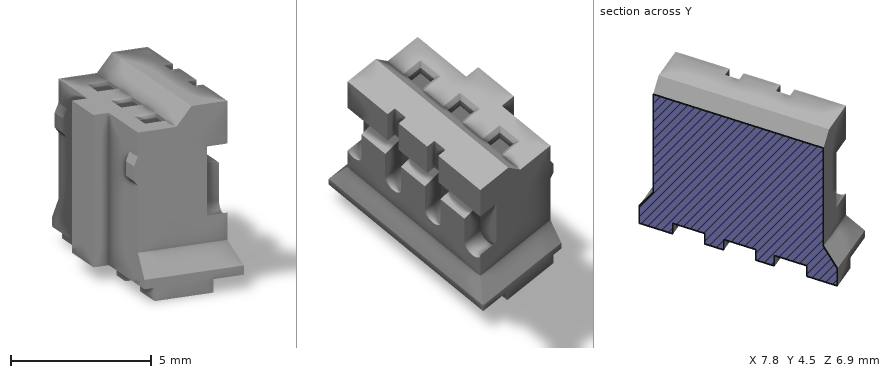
import cadquery as cq


body_width = 6.7
body_depth = 3.5
total_height = 6.9
shoulder_height = 6.2
ridge_front_top = 2.1
ridge_front_bottom = 1.5

skirt_width = 7.8
skirt_depth = 3.9
skirt_band_top = 0.85
flare_top = 1.7
foot_height = 0.5
foot_front = 0.4
foot_back = 2.7
foot_gap_width = 1.25

contact_count = 3
contact_pitch = 2.0
row_offset = 0.05

rib_width = 1.8
rib_depth = 0.6

bump_width = 0.7
bump_depth = 0.15
bump_bottom = 4.2
bump_face_bottom = 4.4
bump_face_top = 4.95
bump_top = 5.3

pocket_width = 1.0
pocket_lead_in = 0.15
pocket_depth = 0.5

recess_floor = 2.7
recess_top = 5.3
post_inner_top = 4.57
post_outer_top = 4.38
trough_radius = 0.4
trough_axis_height = 2.98

slot_width = 0.56
slot_depth = 0.36


def box(x_min, x_max, y_min, y_max, z_min, z_max):
    """Axis-aligned box between the given limits."""
    return cq.Workplane("XY").box(
        x_max - x_min, y_max - y_min, z_max - z_min, centered=False
    ).translate((x_min, y_min, z_min))


def extrude_along_x(points, x_min, x_max):
    """Prism with a (Y, Z) outline between two X positions."""
    return cq.Workplane("YZ").workplane(offset=x_min).polyline(points).close().extrude(x_max - x_min)


def extrude_along_y(points, y_min, y_max):
    """Prism with an (X, Z) outline between two Y positions."""
    return cq.Workplane("XZ").workplane(offset=-y_max).polyline(points).close().extrude(y_max - y_min)


def row_positions(count):
    """X positions of evenly pitched items centred on the contact row."""
    return [row_offset + (i - (count - 1) / 2) * contact_pitch for i in range(count)]


def make_body():
    """Stepped housing whose flared skirt is mitred at the back corners."""
    front_outline = extrude_along_y(
        [
            (-skirt_width / 2, foot_height),
            (skirt_width / 2, foot_height),
            (skirt_width / 2, skirt_band_top),
            (body_width / 2, flare_top),
            (body_width / 2, total_height),
            (-body_width / 2, total_height),
            (-body_width / 2, flare_top),
            (-skirt_width / 2, skirt_band_top),
        ],
        0,
        skirt_depth,
    )
    side_outline = extrude_along_x(
        [
            (0, foot_height),
            (skirt_depth, foot_height),
            (skirt_depth, skirt_band_top),
            (body_depth, flare_top),
            (body_depth, total_height),
            (ridge_front_top, total_height),
            (ridge_front_bottom, shoulder_height),
            (0, shoulder_height),
        ],
        -skirt_width / 2,
        skirt_width / 2,
    )
    return front_outline.intersect(side_outline)


def make_feet():
    """Foot strip under the skirt, interrupted below each contact."""
    feet = box(-skirt_width / 2, skirt_width / 2, foot_front, foot_back, 0, foot_height)
    for x in row_positions(contact_count):
        gap_half = foot_gap_width / 2
        feet = feet.cut(box(x - gap_half, x + gap_half, foot_front, foot_back, 0, foot_height))
    return feet


def make_rib():
    """Full-height rib in the middle of the front wall."""
    return box(-rib_width / 2, rib_width / 2, -rib_depth, 0, foot_height, shoulder_height)


def make_bump(x_min):
    """Chamfered snap bump on the front wall."""
    outline = [
        (0, bump_bottom),
        (-bump_depth, bump_face_bottom),
        (-bump_depth, bump_face_top),
        (0, bump_top),
    ]
    return extrude_along_x(outline, x_min, x_min + bump_width)


def make_pocket(x):
    """Square contact opening with a chamfered mouth; its back lead-in lies under the ridge ramp."""
    mouth_front = ridge_front_bottom + pocket_lead_in - pocket_width
    mouth_center = mouth_front + pocket_width / 2
    throat_width = pocket_width - 2 * pocket_lead_in
    mouth = (
        cq.Workplane("XY")
        .workplane(offset=shoulder_height)
        .center(x, mouth_center)
        .rect(pocket_width, pocket_width)
        .workplane(offset=-pocket_lead_in)
        .rect(throat_width, throat_width)
        .loft(ruled=True)
    )
    throat = (
        cq.Workplane("XY")
        .workplane(offset=shoulder_height - pocket_depth)
        .center(x, mouth_center)
        .rect(throat_width, throat_width)
        .extrude(pocket_depth - pocket_lead_in)
    )
    return mouth.union(throat)


def make_recess():
    """Recess across the back, above the sloped tops of the posts."""
    outline = [
        (recess_floor, post_inner_top),
        (body_depth, post_outer_top),
        (body_depth, recess_top),
        (recess_floor, recess_top),
    ]
    return extrude_along_x(outline, -body_width / 2, body_width / 2)


def make_trough(x):
    """Round-bottomed trough that separates neighbouring posts."""
    sides = box(
        x - trough_radius, x + trough_radius, recess_floor, body_depth, trough_axis_height, recess_top
    )
    bottom = (
        cq.Workplane("XZ")
        .workplane(offset=-body_depth)
        .center(x, trough_axis_height)
        .circle(trough_radius)
        .extrude(body_depth - recess_floor)
    )
    return sides.union(bottom)


def make_slot(x):
    """Slot through the back edge of the ridge, above a trough."""
    slot_half = slot_width / 2
    return box(x - slot_half, x + slot_half, body_depth - slot_depth, body_depth, recess_top, total_height)


result = make_body().union(make_feet()).union(make_rib())
for bump_x_min in (-body_width / 2, body_width / 2 - bump_width):
    result = result.union(make_bump(bump_x_min))

for contact_x in row_positions(contact_count):
    result = result.cut(make_pocket(contact_x))

result = result.cut(make_recess())
for trough_x in row_positions(contact_count + 1):
    result = result.cut(make_trough(trough_x))
for slot_x in row_positions(contact_count - 1):
    result = result.cut(make_slot(slot_x))